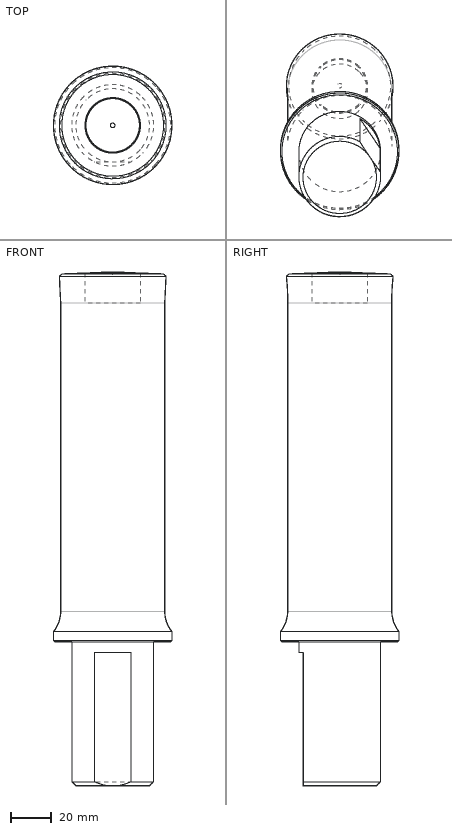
import cadquery as cq
import math

height = 251.5

shank_radius = 40.0 / 2
shank_chamfer = 2.0
flat_width = 17.9
flat_height = 65.1
flat_offset = math.sqrt(shank_radius**2 - (flat_width / 2) ** 2)

collar_radius = 58.0 / 2
collar_bottom = 70.5
collar_top = 75.5
collar_chamfer = 0.8
column_radius = 51.0 / 2
flare_height = 9.8
flare_top = collar_top + flare_height
flare_width = collar_radius - column_radius
flare_radius = (flare_height**2 + flare_width**2) / (2 * flare_width)

head_bottom = 236.2
head_radius = 26.2
head_chamfer = 1.3
crown_rise = 1.0
crown_edge = height - crown_rise
crown_radius = head_radius - head_chamfer

plug_radius = 13.5
plug_depth = 15.3
plug_chamfer = 0.5
mark_diameter = 2.3
mark_depth = 1.3

recess_rim = height - crown_rise * plug_radius / crown_radius


def flare_midpoint():
    """Point halfway along the flare arc, in the radius-height plane."""
    half_angle = math.asin(flare_height / flare_radius) / 2
    radius = column_radius + flare_radius * (1 - math.cos(half_angle))
    z = flare_top - flare_radius * math.sin(half_angle)
    return radius, z


def make_pillar():
    """Shank, collar, column and head, turned as one piece."""
    turned = (
        cq.Workplane("XZ")
        .moveTo(0, 0)
        .lineTo(shank_radius - shank_chamfer, 0)
        .lineTo(shank_radius, shank_chamfer)
        .lineTo(shank_radius, collar_bottom)
        .lineTo(collar_radius - collar_chamfer, collar_bottom)
        .lineTo(collar_radius, collar_bottom + collar_chamfer)
        .lineTo(collar_radius, collar_top)
        .threePointArc(flare_midpoint(), (column_radius, flare_top))
        .lineTo(column_radius, head_bottom)
        .lineTo(head_radius, crown_edge - head_chamfer)
        .lineTo(crown_radius, crown_edge)
        .lineTo(0, height)
        .close()
        .revolve(360, (0, 0, 0), (0, 1, 0))
    )
    recess = cq.Workplane("XY").workplane(offset=height - plug_depth).circle(plug_radius).extrude(plug_depth)
    return turned.cut(make_flat_cutter()).cut(recess)


def make_flat_cutter():
    """Block that leaves the flat on the -Y side of the shank."""
    return cq.Workplane("XY").box(
        2 * shank_radius, shank_radius, flat_height, centered=(True, False, False)
    ).translate((0, -flat_offset - shank_radius, 0))


def make_plug():
    """Plug seated in the recess, flush with the crown at its rim."""
    return (
        cq.Workplane("XZ")
        .moveTo(0, height - plug_depth)
        .lineTo(plug_radius, height - plug_depth)
        .lineTo(plug_radius, recess_rim - plug_chamfer)
        .lineTo(plug_radius - plug_chamfer, recess_rim)
        .lineTo(mark_diameter / 2, height)
        .lineTo(0, height - mark_depth)
        .close()
        .revolve(360, (0, 0, 0), (0, 1, 0))
    )


pillar = make_pillar()
plug = make_plug()

result = cq.Compound.makeCompound([pillar.val(), plug.val()])